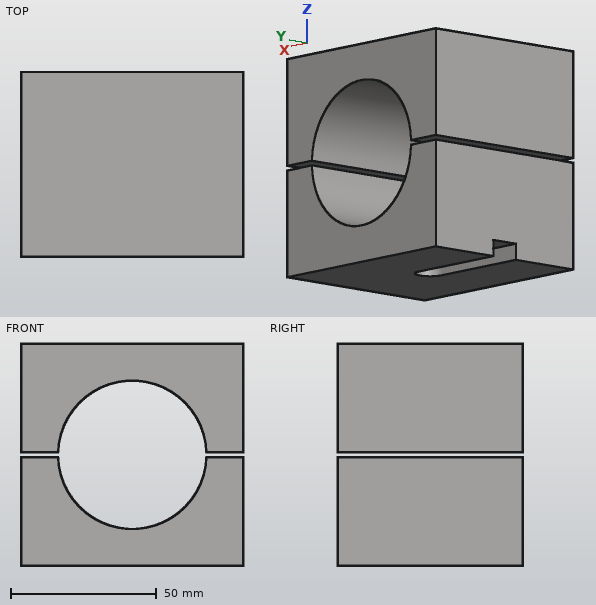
import cadquery as cq

block_width = 76.2
block_length = 63.5
block_height = 76.2
bore_diameter = 50.8
split_gap = 1.6

slot_width = 10.45
slot_depth = 5.65
slot_end_x = 0.0

half_height = (block_height - split_gap) / 2
bottom_z = -block_height / 2


def make_half(base_z):
    """Half block standing on base_z, with its share of the bore removed."""
    block = (
        cq.Workplane("XY", origin=(0, 0, base_z))
        .box(block_width, block_length, half_height, centered=(True, True, False))
    )
    bore = cq.Workplane("XZ").circle(bore_diameter / 2).extrude(block_length / 2, both=True)
    return block.cut(bore)


def make_mounting_slot():
    """Slot volume with a straight run from the -X side to a half-round end."""
    half_width = slot_width / 2
    open_end_x = -block_width / 2
    return (
        cq.Workplane("XY", origin=(0, 0, bottom_z))
        .moveTo(open_end_x, -half_width)
        .lineTo(slot_end_x, -half_width)
        .threePointArc((slot_end_x + half_width, 0), (slot_end_x, half_width))
        .lineTo(open_end_x, half_width)
        .close()
        .extrude(slot_depth)
    )


upper_half = make_half(split_gap / 2)
lower_half = make_half(bottom_z).cut(make_mounting_slot())

result = cq.Compound.makeCompound([upper_half.solids().val(), lower_half.solids().val()])